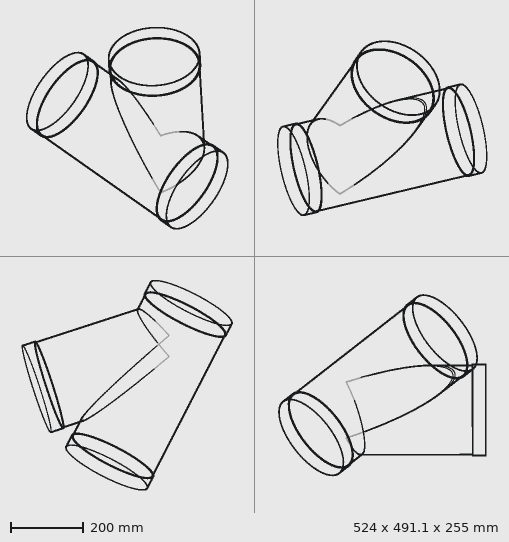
import cadquery as cq
import math

run_length = 524.0

socket_depth = 35.0
taper_length = 2.5
collar_length = socket_depth + taper_length

bore_diameter = 245.0
pipe_diameter = 250.0
collar_diameter = 255.0

branch_angle = 45.0
junction_x = 125.0
branch_reach = 363.65

lean = math.radians(branch_angle)
mouth_rise = collar_diameter / 2 * math.cos(lean)
branch_length = (branch_reach - mouth_rise) / math.sin(lean)

run_start = cq.Vector(-run_length / 2, 0, 0)
run_end = cq.Vector(run_length / 2, 0, 0)
run_direction = cq.Vector(1, 0, 0)
junction = cq.Vector(junction_x, 0, 0)
branch_direction = cq.Vector(-math.cos(lean), math.sin(lean), 0)
branch_mouth = junction + branch_direction * branch_length


def cylinder(diameter, length, start, direction):
    """Solid cylinder from a start point along a direction."""
    return cq.Workplane(obj=cq.Solid.makeCylinder(diameter / 2, length, start, direction))


def collar(mouth, inward):
    """Wider outside of one open end."""
    return cylinder(collar_diameter, collar_length, mouth, inward)


def socket(mouth, inward):
    """Space inside one collar: a straight bore closed in by a conical shoulder."""
    bore = cylinder(pipe_diameter, socket_depth, mouth, inward)
    taper_start = mouth + inward * socket_depth
    taper = cq.Solid.makeCone(pipe_diameter / 2, bore_diameter / 2, taper_length, taper_start, inward)
    return bore.union(cq.Workplane(obj=taper))


open_ends = [
    (run_start, run_direction),
    (run_end, -run_direction),
    (branch_mouth, -branch_direction),
]

body = cylinder(pipe_diameter, run_length, run_start, run_direction)
body = body.union(cylinder(pipe_diameter, branch_length, junction, branch_direction))
for mouth, inward in open_ends:
    body = body.union(collar(mouth, inward))

body = body.cut(cylinder(bore_diameter, run_length, run_start, run_direction))
body = body.cut(cylinder(bore_diameter, branch_length, junction, branch_direction))

for mouth, inward in open_ends:
    body = body.cut(socket(mouth, inward))

result = body